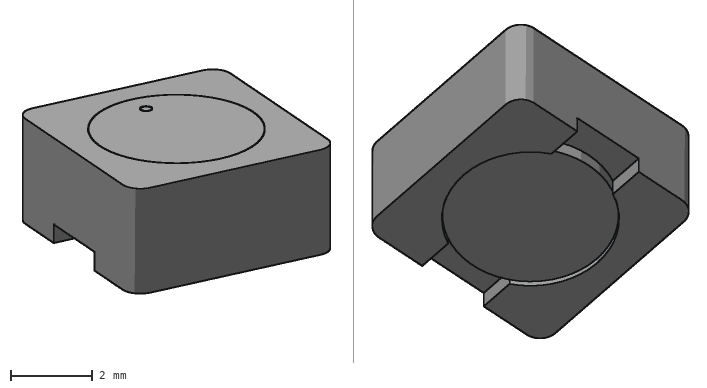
import cadquery as cq

housing_width = 5.8
housing_height = 2.8
corner_radius = 0.5
bore_diameter = 4.35

notch_width = 2.0
notch_height = 0.5

core_diameter = 4.32
core_bottom = 0.14
core_height = housing_height - core_bottom

mark_diameter = 0.3
mark_depth = 0.02
mark_x = -1.5


def make_housing():
    block = (
        cq.Workplane("XY")
        .rect(housing_width, housing_width)
        .extrude(housing_height)
        .edges("|Z")
        .fillet(corner_radius)
    )
    bore = cq.Workplane("XY").circle(bore_diameter / 2).extrude(housing_height)
    notch = cq.Workplane("XY").rect(notch_width, housing_width).extrude(notch_height)
    return block.cut(bore).cut(notch)


def make_core():
    cylinder = (
        cq.Workplane("XY")
        .workplane(offset=core_bottom)
        .circle(core_diameter / 2)
        .extrude(core_height)
    )
    mark = (
        cq.Workplane("XY")
        .workplane(offset=housing_height - mark_depth)
        .center(mark_x, 0)
        .circle(mark_diameter / 2)
        .extrude(mark_depth)
    )
    return cylinder.cut(mark)


housing = make_housing()
core = make_core()

result = cq.Compound.makeCompound([housing.val(), core.val()])